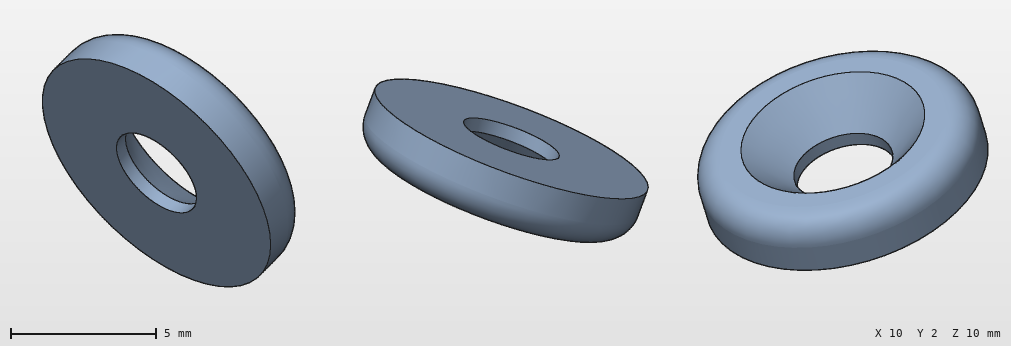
import cadquery as cq

outer_diameter = 10.0
thickness = 2.0
bore_diameter = 3.5
bore_length = 0.5
countersink_diameter = 6.5
rim_radius = thickness / 2

outer_radius = outer_diameter / 2
bore_radius = bore_diameter / 2
countersink_radius = countersink_diameter / 2

section = (
    cq.Workplane("XY")
    .moveTo(bore_radius, 0)
    .lineTo(outer_radius, 0)
    .lineTo(outer_radius, thickness - rim_radius)
    .radiusArc((outer_radius - rim_radius, thickness), -rim_radius)
    .lineTo(countersink_radius, thickness)
    .lineTo(bore_radius, bore_length)
    .close()
)

result = section.revolve(360, (0, 0, 0), (0, 1, 0))